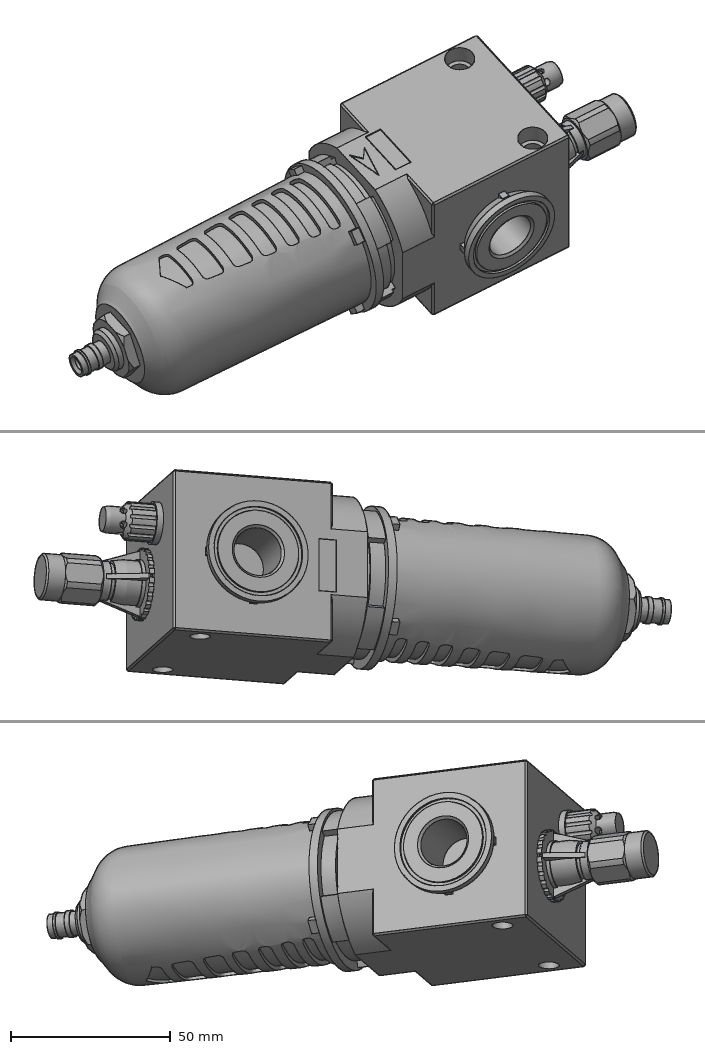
import cadquery as cq
import math

OVERLAP = 1.0
HEX_CORNER_RATIO = 2 / math.sqrt(3)

BODY_SIZE = 52.0
BODY_HALF = BODY_SIZE / 2
BODY_CHAMFER = 0.6
COLLAR_END = -37.5
COLLAR_FLAT = 21.4
COLLAR_RADIUS = math.hypot(BODY_HALF, COLLAR_FLAT / 2)

MOUNT_X = 20.3
MOUNT_Y = 15.7
MOUNT_RADIUS = 3.3
COUNTERBORE_RADIUS = 4.7
COUNTERBORE_DEPTH = 6.1

PORT_SPAN = 63.3
PORT_END = PORT_SPAN / 2
PORT_RADIUS = 16.3
PORT_RIM = 2.2
PORT_NECK_RADIUS = 14.0
PORT_TAB_RADIUS = 15.7
PORT_TAB_WIDTH = 2.5
PORT_BORE_RADIUS = 7.7
PORT_MOUTH_RADIUS = 8.5
PORT_BORE_DEPTH = 20.3
RING_OUTER = 14.5
RING_INNER = 13.2
RING_DEPTH = 0.8

MARK_DEPTH = 0.5
LABEL_LENGTH = 16.9
LABEL_WIDTH = 5.7
LABEL_Y = -24.5
LABEL_SHIFT = 1.2
ARROW_Y = -33.0
ARROW_TIP = 6.1
ARROW_NOTCH = -2.5
ARROW_HALF_WIDTH = 2.8

BAYONET_COUNT = 4
NECK_RADIUS = 24.8
NECK_RELIEF_RADIUS = 23.8
NECK_RELIEF_END = -38.6
FLANGE_TOP = -44.3
FLANGE_BOTTOM = -47.2
FLANGE_RADIUS = 25.6
WINDOW_RADIUS = 22.5
WINDOW_GROOVE_RADIUS = 21.5
WINDOW_GROOVE_END = -39.5
WINDOW_HALF_ANGLE = 26.5
WINDOW_TURN = 3.3
LUG_RADIUS = 24.8
LUG_WIDTH = 4.7
LUG_END = -50.0
LUG_TURN = 45

BOWL_TOP_RADIUS = 22.8
BOWL_LOW_RADIUS = 22.0
BOWL_ROUND_START = -115.0
BOWL_CONE_START = -122.9
BOWL_END = -126.7
BOWL_CONE_RADIUS = 18.5
BOWL_END_RADIUS = 14.5
BOWL_END_CHAMFER = 0.8

SLOTS = [
    (-51.0, -55.0),
    (-58.0, -62.2),
    (-65.7, -70.2),
    (-73.8, -79.3),
    (-82.4, -89.3),
    (-92.8, -100.3),
]
POINTED_SLOT_TOP = -103.7
POINTED_SLOT_SHOULDER = -106.8
POINTED_SLOT_TIP = -111.5
SLOT_WIDEST = 12.5
SLOT_TAPER = 0.085
SLOT_FLOOR_RADIUS = 21.2
SLOT_CORNER = 1.6

NUT_FLATS = 19.3
NUT_END = -130.2
NUT_CHAMFER = 1.2
WASHER_END = -133.0
WASHER_RADIUS = 7.1
WASHER_CHAMFER = 1.0
STEM_END = -143.4
STEM_RADIUS = 3.9
STEM_RING_RADIUS = 4.3
STEM_RINGS = [(-135.9, -137.5), (-140.5, -141.4)]
DRAIN_BORE_RADIUS = 2.0
DRAIN_BORE_DEPTH = 4.0
DRAIN_BORE_CHAMFER = 1.0

DOME_X = 6.1
DOME_Z = -3.0
DOME_BASE_RADIUS = 11.4
DOME_BASE_END = 27.7
SERRATION_COUNT = 24
SERRATION_RADIUS = 0.6
DOME_FOOT_RADIUS = 7.7
DOME_FOOT_END = 28.9
DOME_RADIUS = 7.3
DOME_CYLINDER_END = 33.5
DOME_NECK_RADIUS = 6.3
DOME_NECK_START = 39.3
DOME_GROOVE_RADIUS = 6.0
DOME_GROOVE = (38.5, 37.2)
FIN_WIDTH = 1.6
FIN_FOOT_RADIUS = 11.0
FIN_TIP = 40.3
KNOB_FLATS = 14.6
KNOB_CORNER_RADIUS = 8.0
KNOB_CHAMFER = 0.8
KNOB_HEX_START = 41.3
KNOB_HEX_END = 54.1
KNOB_END = 60.0
KNOB_CAP_RADIUS = 7.3
KNOB_CAP_CHAMFER = 0.6

PLUG_X = -8.3
PLUG_Z = 13.0
PLUG_BASE_RADIUS = 6.7
PLUG_BASE_END = 28.0
PLUG_RADIUS = 6.1
PLUG_END = 36.0
PLUG_CONE_END = 37.6
PLUG_STEM_RADIUS = 4.3
PLUG_TIP_RADIUS = 3.9
PLUG_TIP_START = 42.5
PLUG_STEM_END = 44.0
FLUTE_COUNT = 12
FLUTE_RADIUS = 0.6
PLUG_HOLE_RADIUS = 1.0
PLUG_HOLE_Y = 38.2
PLUG_HOLE_OFFSET = 2.2


def disc(radius, start, end, x=0):
    """Cylinder along Y between two Y positions."""
    return cq.Workplane("XZ", origin=(x, start, 0)).circle(radius).extrude(start - end)


def hexagon(across_flats, start, end, turn=0):
    """Hexagonal prism along Y; its corners point along X when turn is zero."""
    prism = cq.Workplane("XZ", origin=(0, start, 0)).polygon(6, across_flats * HEX_CORNER_RATIO)
    return prism.extrude(start - end).rotate((0, 0, 0), (0, 1, 0), turn)


def turned(points):
    """Solid of revolution about Y from a closed (radius, y) polygon."""
    return cq.Workplane("XY").polyline(points).close().revolve(360, (0, 0, 0), (0, 1, 0))


def around_y(shape, count, start=0):
    """Union of copies of a shape spread evenly about the Y axis."""
    copies = cq.Workplane("XY")
    for i in range(count):
        copies = copies.add(shape.rotate((0, 0, 0), (0, 1, 0), start + i * 360 / count))
    return copies.combine()


def make_body():
    """Cubic block with a round collar below it, flattened level with the block sides."""
    block = cq.Workplane("XY").box(BODY_SIZE, BODY_SIZE, BODY_SIZE).edges().chamfer(BODY_CHAMFER)
    collar = disc(COLLAR_RADIUS, 0, COLLAR_END)
    envelope = cq.Workplane("XY").box(BODY_SIZE, 2 * abs(COLLAR_END), BODY_SIZE)
    return block.union(collar.intersect(envelope))


def cut_mounting_holes(body):
    """Body with two through holes, counterbored on the +Z face."""
    top = cq.Workplane("XY", origin=(0, 0, BODY_HALF))
    spots = [(-MOUNT_X, MOUNT_Y), (MOUNT_X, MOUNT_Y)]
    holes = top.pushPoints(spots).circle(MOUNT_RADIUS).extrude(-BODY_SIZE)
    counterbores = top.pushPoints(spots).circle(COUNTERBORE_RADIUS).extrude(-COUNTERBORE_DEPTH)
    return body.cut(holes).cut(counterbores)


def make_port():
    """Port boss on the +X side, with a back cone bridged by four tabs."""
    rim_start = PORT_END - PORT_RIM
    inside = BODY_HALF - OVERLAP
    outline = [
        (inside, 0),
        (inside, PORT_NECK_RADIUS),
        (BODY_HALF, PORT_NECK_RADIUS),
        (rim_start, PORT_RADIUS),
        (PORT_END, PORT_RADIUS),
        (PORT_END, 0),
    ]
    boss = cq.Workplane("XY").polyline(outline).close().revolve(360, (0, 0, 0), (1, 0, 0))
    tab_plane = cq.Workplane("YZ", origin=(inside, 0, 0))
    tab_length = rim_start - inside + OVERLAP
    upright = tab_plane.rect(PORT_TAB_WIDTH, 2 * PORT_TAB_RADIUS).extrude(tab_length)
    level = tab_plane.rect(2 * PORT_TAB_RADIUS, PORT_TAB_WIDTH).extrude(tab_length)
    face = cq.Workplane("YZ", origin=(PORT_END, 0, 0))
    ring = face.circle(RING_OUTER).circle(RING_INNER).extrude(-RING_DEPTH)
    return boss.union(upright).union(level).cut(ring)


def port_bore():
    """Blind bore on the +X side with a countersunk mouth."""
    floor = PORT_END - PORT_BORE_DEPTH
    countersink = PORT_MOUTH_RADIUS - PORT_BORE_RADIUS
    outline = [
        (floor, 0),
        (floor, PORT_BORE_RADIUS),
        (PORT_END - countersink, PORT_BORE_RADIUS),
        (PORT_END, PORT_MOUTH_RADIUS),
        (PORT_END, 0),
    ]
    return cq.Workplane("XY").polyline(outline).close().revolve(360, (0, 0, 0), (1, 0, 0))


def make_marks():
    """Label recesses on the +Z and -X faces and a flow arrow on the +Z face."""
    floor = BODY_HALF - MARK_DEPTH
    label = (
        cq.Workplane("XY", origin=(-LABEL_SHIFT, LABEL_Y, floor))
        .rect(LABEL_LENGTH, LABEL_WIDTH)
        .extrude(MARK_DEPTH)
    )
    arrow = (
        cq.Workplane("XY", origin=(0, ARROW_Y, floor))
        .moveTo(ARROW_TIP, 0)
        .lineTo(-ARROW_TIP, ARROW_HALF_WIDTH)
        .lineTo(ARROW_NOTCH, 0)
        .lineTo(-ARROW_TIP, -ARROW_HALF_WIDTH)
        .close()
        .extrude(MARK_DEPTH)
    )
    return label.union(label.rotate((0, 0, 0), (0, 1, 0), -90)).union(arrow)


def sector(start, end):
    """Wedge about the +Z direction, as wide as one neck window."""
    reach = 2 * NECK_RADIUS
    side = reach * math.tan(math.radians(WINDOW_HALF_ANGLE))
    corners = [(0, 0), (-side, reach), (side, reach)]
    return cq.Workplane("XZ", origin=(0, start, 0)).polyline(corners).close().extrude(start - end)


def make_neck():
    """Relieved bayonet neck with four windows, the flange below it and the lugs under the flange."""
    window = sector(COLLAR_END, FLANGE_TOP).cut(disc(WINDOW_RADIUS, COLLAR_END, FLANGE_TOP))
    groove = sector(COLLAR_END, WINDOW_GROOVE_END)
    groove = groove.cut(disc(WINDOW_GROOVE_RADIUS, COLLAR_END, WINDOW_GROOVE_END))
    neck = disc(NECK_RADIUS, NECK_RELIEF_END, FLANGE_TOP)
    neck = neck.union(disc(NECK_RELIEF_RADIUS, COLLAR_END + OVERLAP, NECK_RELIEF_END))
    neck = neck.cut(around_y(window.union(groove), BAYONET_COUNT, -WINDOW_TURN))
    flange = disc(FLANGE_RADIUS, FLANGE_TOP, FLANGE_BOTTOM)
    lug_height = FLANGE_BOTTOM - LUG_END + OVERLAP
    lug = cq.Workplane("XY").box(LUG_WIDTH, lug_height, LUG_RADIUS, centered=(True, False, False))
    lugs = around_y(lug.translate((0, LUG_END, 0)), BAYONET_COUNT, LUG_TURN)
    return neck.union(flange).union(lugs)


def make_bowl():
    """Drafted bowl with a rounded, then conical, closed end."""
    fall = BOWL_ROUND_START - BOWL_CONE_START
    shrink = BOWL_LOW_RADIUS - BOWL_CONE_RADIUS
    round_radius = (fall**2 + shrink**2) / (2 * shrink)
    half_turn = math.atan2(shrink, fall)
    round_middle = (
        BOWL_LOW_RADIUS - round_radius * (1 - math.cos(half_turn)),
        BOWL_ROUND_START - round_radius * math.sin(half_turn),
    )
    start = FLANGE_BOTTOM + OVERLAP
    return (
        cq.Workplane("XY")
        .moveTo(0, start)
        .lineTo(BOWL_TOP_RADIUS, start)
        .lineTo(BOWL_LOW_RADIUS, BOWL_ROUND_START)
        .threePointArc(round_middle, (BOWL_CONE_RADIUS, BOWL_CONE_START))
        .lineTo(BOWL_END_RADIUS, BOWL_END + BOWL_END_CHAMFER)
        .lineTo(BOWL_END_RADIUS - BOWL_END_CHAMFER, BOWL_END)
        .lineTo(0, BOWL_END)
        .close()
        .revolve(360, (0, 0, 0), (0, 1, 0))
    )


def slot_half_width(y):
    """Half width of the tapering slot column at a given Y."""
    return SLOT_WIDEST - SLOT_TAPER * (SLOTS[0][0] - y)


def make_slots():
    """Column of tapering slots on the +Z and -Z sides, cut down to a cylindrical floor."""
    reach = BOWL_TOP_RADIUS + OVERLAP
    column = cq.Workplane("XY")
    for upper, lower in SLOTS:
        wide = slot_half_width(upper)
        narrow = slot_half_width(lower)
        corners = [(-wide, upper), (wide, upper), (narrow, lower), (-narrow, lower)]
        slot = cq.Workplane("XY").polyline(corners).close().extrude(reach, both=True)
        column = column.add(slot.edges("|Z").fillet(SLOT_CORNER))
    wide = slot_half_width(POINTED_SLOT_TOP)
    narrow = slot_half_width(POINTED_SLOT_SHOULDER)
    pointed = [
        (-wide, POINTED_SLOT_TOP),
        (wide, POINTED_SLOT_TOP),
        (narrow, POINTED_SLOT_SHOULDER),
        (0, POINTED_SLOT_TIP),
        (-narrow, POINTED_SLOT_SHOULDER),
    ]
    last_slot = cq.Workplane("XY").polyline(pointed).close().extrude(reach, both=True)
    last_slot = last_slot.edges("|Z and >Y").fillet(SLOT_CORNER)
    core = disc(SLOT_FLOOR_RADIUS, FLANGE_BOTTOM, BOWL_END)
    return column.add(last_slot).combine().cut(core)


def make_drain():
    """Drain at the bowl end: hexagonal nut, washer and ringed stem with a short bore."""
    nut = hexagon(NUT_FLATS, BOWL_END + OVERLAP, NUT_END)
    nut_corner = NUT_FLATS * HEX_CORNER_RATIO / 2
    nut_limit = disc(nut_corner, BOWL_END + OVERLAP, NUT_END).faces("<Y").chamfer(NUT_CHAMFER)
    nut = nut.intersect(nut_limit)
    washer = disc(WASHER_RADIUS, NUT_END + OVERLAP, WASHER_END).faces("<Y").chamfer(WASHER_CHAMFER)
    drain = nut.union(washer).union(disc(STEM_RADIUS, WASHER_END + OVERLAP, STEM_END))
    for upper, lower in STEM_RINGS:
        drain = drain.union(disc(STEM_RING_RADIUS, upper, lower))
    bore = turned(
        [
            (0, STEM_END + DRAIN_BORE_DEPTH),
            (DRAIN_BORE_RADIUS, STEM_END + DRAIN_BORE_DEPTH),
            (DRAIN_BORE_RADIUS, STEM_END + DRAIN_BORE_CHAMFER),
            (DRAIN_BORE_RADIUS + DRAIN_BORE_CHAMFER, STEM_END),
            (0, STEM_END),
        ]
    )
    return drain.cut(bore)


def make_dome():
    """Sight dome on the +Y face: serrated base, finned dome and hexagonal knob."""
    inside = BODY_HALF - OVERLAP
    dome = turned(
        [
            (0, inside),
            (DOME_BASE_RADIUS, inside),
            (DOME_BASE_RADIUS, DOME_BASE_END),
            (DOME_FOOT_RADIUS, DOME_BASE_END),
            (DOME_FOOT_RADIUS, DOME_FOOT_END),
            (DOME_RADIUS, DOME_FOOT_END),
            (DOME_RADIUS, DOME_CYLINDER_END),
            (DOME_NECK_RADIUS, DOME_NECK_START),
            (DOME_NECK_RADIUS, KNOB_HEX_START + OVERLAP),
            (0, KNOB_HEX_START + OVERLAP),
        ]
    )
    groove_top, groove_bottom = DOME_GROOVE
    groove = disc(DOME_BASE_RADIUS, groove_top, groove_bottom)
    dome = dome.cut(groove.cut(disc(DOME_GROOVE_RADIUS, groove_top, groove_bottom)))
    serration = disc(SERRATION_RADIUS, BODY_HALF, DOME_BASE_END, x=DOME_BASE_RADIUS)
    dome = dome.cut(around_y(serration, SERRATION_COUNT))
    fin_foot = DOME_BASE_END - OVERLAP
    fin_outline = [
        (-FIN_FOOT_RADIUS, fin_foot),
        (FIN_FOOT_RADIUS, fin_foot),
        (DOME_NECK_RADIUS, FIN_TIP),
        (-DOME_NECK_RADIUS, FIN_TIP),
    ]
    fin = cq.Workplane("XY").polyline(fin_outline).close().extrude(FIN_WIDTH / 2, both=True)
    fins = fin.union(fin.rotate((0, 0, 0), (0, 1, 0), 90))
    corner_limit = disc(KNOB_CORNER_RADIUS, KNOB_HEX_START, KNOB_HEX_END)
    corner_limit = corner_limit.edges().chamfer(KNOB_CHAMFER)
    knob = hexagon(KNOB_FLATS, KNOB_HEX_START, KNOB_HEX_END, turn=30).intersect(corner_limit)
    cap = disc(KNOB_CAP_RADIUS, KNOB_HEX_END - OVERLAP, KNOB_END).faces(">Y").chamfer(KNOB_CAP_CHAMFER)
    return dome.union(fins).union(knob).union(cap).translate((DOME_X, 0, DOME_Z))


def make_plug():
    """Filler plug on the +Y face: fluted grip and a stem with cross holes."""
    inside = BODY_HALF - OVERLAP
    plug = turned(
        [
            (0, inside),
            (PLUG_BASE_RADIUS, inside),
            (PLUG_BASE_RADIUS, PLUG_BASE_END),
            (PLUG_RADIUS, PLUG_BASE_END),
            (PLUG_RADIUS, PLUG_END),
            (PLUG_STEM_RADIUS, PLUG_CONE_END),
            (PLUG_STEM_RADIUS, PLUG_TIP_START),
            (PLUG_TIP_RADIUS, PLUG_STEM_END),
            (0, PLUG_STEM_END),
        ]
    )
    flute = disc(FLUTE_RADIUS, PLUG_BASE_END, PLUG_CONE_END, x=PLUG_RADIUS)
    plug = plug.cut(around_y(flute, FLUTE_COUNT))
    upright = cq.Workplane("XY", origin=(0, PLUG_HOLE_Y, 0)).circle(PLUG_HOLE_RADIUS)
    plug = plug.cut(upright.extrude(PLUG_RADIUS, both=True))
    spots = [(PLUG_HOLE_Y, -PLUG_HOLE_OFFSET), (PLUG_HOLE_Y, PLUG_HOLE_OFFSET)]
    level = cq.Workplane("YZ").pushPoints(spots).circle(PLUG_HOLE_RADIUS)
    plug = plug.cut(level.extrude(PLUG_RADIUS, both=True))
    return plug.translate((PLUG_X, 0, PLUG_Z))


port = make_port()
bore = port_bore()
result = cut_mounting_holes(make_body())
result = result.union(port).union(port.mirror("YZ")).cut(bore).cut(bore.mirror("YZ"))
result = result.cut(make_marks())
result = result.union(make_neck()).union(make_bowl().cut(make_slots())).union(make_drain())
result = result.union(make_dome()).union(make_plug())